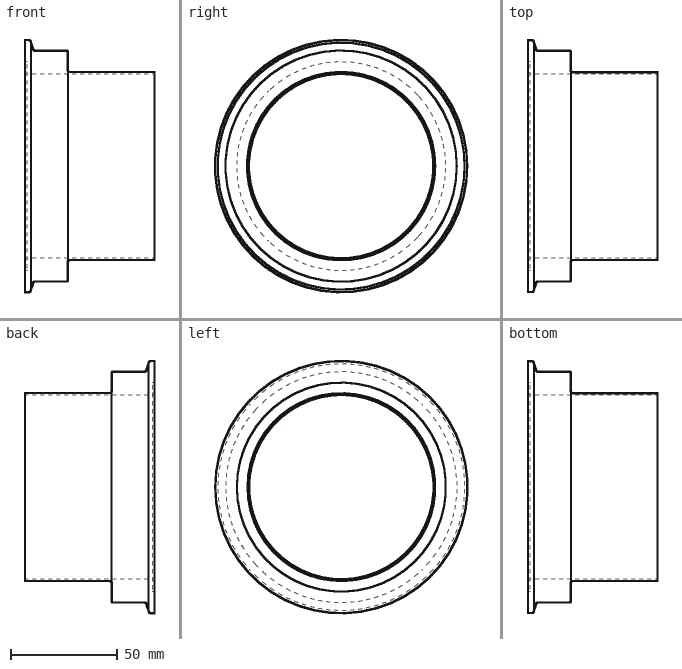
import cadquery as cq
import math

total_length = 61.0
rim_width = 1.8
hub_end = 20.2

flange_radius = 59.5
hub_radius = 54.5
pipe_radius = 44.4
bore_radius = 43.4
recess_radius = 49.3
collar_radius = 44.3

recess_depth = 1.0
hub_rounding = 0.7
pipe_root_fillet = 0.7
rim_rounding = 1.3
cone_start = 2.9
cone_end = 3.9
cone_end_radius = 55.0
cone_root_end = 4.6

arc_inset = 1 - math.sqrt(0.5)


def outer_body():
    """Flange, hub and pipe as one solid of revolution about X."""
    rim_mid = (
        cone_start - arc_inset * (cone_start - rim_width),
        flange_radius - arc_inset * rim_rounding,
    )
    cone_root_mid = (
        cone_end + arc_inset * (cone_root_end - cone_end),
        hub_radius + arc_inset * (cone_end_radius - hub_radius),
    )
    hub_corner_mid = (
        hub_end - arc_inset * hub_rounding,
        hub_radius - arc_inset * hub_rounding,
    )
    pipe_root_mid = (
        hub_end + arc_inset * pipe_root_fillet,
        pipe_radius + arc_inset * pipe_root_fillet,
    )
    profile = (
        cq.Workplane("XY")
        .lineTo(0, flange_radius)
        .lineTo(rim_width, flange_radius)
        .threePointArc(rim_mid, (cone_start, flange_radius - rim_rounding))
        .lineTo(cone_end, cone_end_radius)
        .threePointArc(cone_root_mid, (cone_root_end, hub_radius))
        .lineTo(hub_end - hub_rounding, hub_radius)
        .threePointArc(hub_corner_mid, (hub_end, hub_radius - hub_rounding))
        .lineTo(hub_end, pipe_radius + pipe_root_fillet)
        .threePointArc(pipe_root_mid, (hub_end + pipe_root_fillet, pipe_radius))
        .lineTo(total_length, pipe_radius)
        .lineTo(total_length, 0)
        .close()
    )
    return profile.revolve(360, (0, 0), (1, 0))


def bore():
    """Plain bore through the whole length."""
    return cq.Workplane("YZ").circle(bore_radius).extrude(total_length)


def face_recess():
    """Shallow annular recess in the flange face, leaving a thin collar around the bore."""
    return cq.Workplane("YZ").circle(recess_radius).circle(collar_radius).extrude(recess_depth)


result = outer_body().cut(bore()).cut(face_recess())